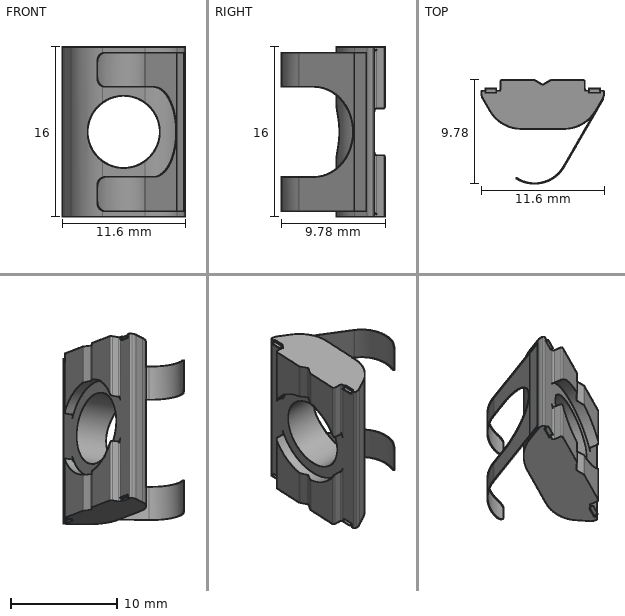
import cadquery as cq
import math

length = 16.0
width = 11.6
half_width = width / 2
boss_half_width = 3.98
boss_height = 1.0
body_depth = 3.62
flat_half_width = 2.0
shoulder_radius = 3.45
slope = math.radians(60)
flange_corner_radius = 0.16
slope_blend_radius = 1.05
boss_edge_radius = 0.16

groove_half_width = 0.77
groove_depth = 0.45
groove_radius = 0.2
bore_diameter = 6.78
boss_gap_radius = 4.55

tab_width = 1.04
tab_center_x = 4.88
tab_reach = 0.22
tab_height = 0.15
notch_height = 0.24
notch_depth = 0.18

spring_thickness = 0.06
spring_height = 14.96
spring_top_y = -0.75
spring_front_y = -8.78
bend_radius = 3.2
tip_angle = math.radians(33)
tip_radius = 0.86
window_width = 8.48
window_end_x = 4.93

shoulder_x = flat_half_width + shoulder_radius * math.sin(slope)
shoulder_y = -body_depth + shoulder_radius * (1 - math.cos(slope))
side_y = shoulder_y + (half_width - shoulder_x) * math.tan(slope)


def extrude_z(profile, height):
    """Solid of the profile, centred on Z = 0."""
    return profile.extrude(height / 2, both=True)


def fillet_along_z(solid, points, radius):
    """Round the full-length edges passing through the given XY points."""
    reach = 0.002
    for x, y in points:
        corner = cq.selectors.BoxSelector(
            (x - reach, y - reach, -reach), (x + reach, y + reach, reach)
        )
        solid = solid.edges("|Z").edges(corner).fillet(radius)
    return solid


def mirrored(x, y):
    return [(-x, y), (x, y)]


def make_body():
    half_turn = slope / 2
    mid_x = flat_half_width + shoulder_radius * math.sin(half_turn)
    mid_y = -body_depth + shoulder_radius * (1 - math.cos(half_turn))
    profile = (
        cq.Workplane("XY")
        .moveTo(-flat_half_width, -body_depth)
        .lineTo(flat_half_width, -body_depth)
        .threePointArc((mid_x, mid_y), (shoulder_x, shoulder_y))
        .lineTo(half_width, side_y)
        .lineTo(half_width, 0)
        .lineTo(boss_half_width, 0)
        .lineTo(boss_half_width, boss_height)
        .lineTo(groove_half_width, boss_height)
        .lineTo(0, boss_height - groove_depth)
        .lineTo(-groove_half_width, boss_height)
        .lineTo(-boss_half_width, boss_height)
        .lineTo(-boss_half_width, 0)
        .lineTo(-half_width, 0)
        .lineTo(-half_width, side_y)
        .lineTo(-shoulder_x, shoulder_y)
        .threePointArc((-mid_x, mid_y), (-flat_half_width, -body_depth))
        .close()
    )
    body = extrude_z(profile, length)
    body = fillet_along_z(body, mirrored(half_width, side_y), slope_blend_radius)
    body = fillet_along_z(body, mirrored(half_width, 0), flange_corner_radius)
    body = fillet_along_z(body, mirrored(boss_half_width, 0), boss_edge_radius)
    body = fillet_along_z(body, mirrored(boss_half_width, boss_height), boss_edge_radius)
    body = fillet_along_z(body, mirrored(groove_half_width, boss_height), groove_radius)
    return fillet_along_z(body, [(0, boss_height - groove_depth)], groove_radius)


def make_boss_gap():
    """Round recess around the bore that splits the boss down to the flange plane."""
    return (
        cq.Workplane("XZ")
        .circle(boss_gap_radius)
        .extrude(-boss_height)
    )


def make_bore():
    return cq.Workplane("XZ").circle(bore_diameter / 2).extrude(length, both=True)


def make_tab(x):
    """Wedge standing out of the flange just below the upper end."""
    tab_top = length / 2 - notch_height
    return (
        cq.Workplane("YZ")
        .moveTo(-notch_depth, tab_top)
        .lineTo(tab_reach, tab_top)
        .lineTo(0, tab_top - tab_height)
        .lineTo(-notch_depth, tab_top - tab_height)
        .close()
        .extrude(tab_width / 2, both=True)
        .translate((x, 0, 0))
    )


def make_notch(x):
    """Cutter that opens the upper end above a tab."""
    return cq.Workplane("XY").box(
        tab_width, 2 * notch_depth, 2 * notch_height
    ).translate((x, 0, length / 2))


def slope_x(y):
    """X of the slanted side at height y."""
    return shoulder_x + (y - shoulder_y) / math.tan(slope)


def make_tip_corner():
    """Waste outside a rounded sheet corner at the origin, sheet toward +X and +Y."""
    diagonal = tip_radius * (1 - math.sqrt(0.5))
    return (
        cq.Workplane("XY")
        .moveTo(0, 0)
        .lineTo(tip_radius, 0)
        .threePointArc((diagonal, diagonal), (0, tip_radius))
        .close()
        .extrude(tip_radius, both=True)
    )


def make_spring():
    inner_radius = bend_radius - spring_thickness
    center_y = spring_front_y + bend_radius
    bend_y = center_y - inner_radius * math.cos(slope)
    center_x = slope_x(bend_y) - inner_radius * math.sin(slope)

    def on_bend(radius, angle):
        """Point on the bend, angle measured from -Y toward +X."""
        return (center_x + radius * math.sin(angle), center_y - radius * math.cos(angle))

    top_inner = (slope_x(spring_top_y), spring_top_y)
    top_outer = (
        top_inner[0] + spring_thickness * math.sin(slope),
        top_inner[1] - spring_thickness * math.cos(slope),
    )
    profile = (
        cq.Workplane("XY")
        .moveTo(*top_inner)
        .lineTo(*on_bend(inner_radius, slope))
        .threePointArc(on_bend(inner_radius, 0), on_bend(inner_radius, -tip_angle))
        .lineTo(*on_bend(bend_radius, -tip_angle))
        .threePointArc(on_bend(bend_radius, 0), on_bend(bend_radius, slope))
        .lineTo(*top_outer)
        .close()
    )
    strip = extrude_z(profile, spring_height)

    end_y = shoulder_y + (window_end_x - shoulder_x) * math.tan(slope)
    window_plane = cq.Plane(
        origin=(window_end_x, end_y, 0),
        xDir=(-math.cos(slope), -math.sin(slope), 0),
        normal=(math.sin(slope), -math.cos(slope), 0),
    )
    half_window = window_width / 2
    window = (
        cq.Workplane(window_plane)
        .moveTo(half_window, half_window)
        .threePointArc((0, 0), (half_window, -half_window))
        .lineTo(length, -half_window)
        .lineTo(length, half_window)
        .close()
        .extrude(length, both=True)
    )
    strip = strip.cut(window)

    tip_x, tip_y = on_bend(bend_radius, -tip_angle)
    tip_plane = cq.Plane(
        origin=(tip_x, tip_y, 0),
        xDir=(math.cos(tip_angle), -math.sin(tip_angle), 0),
        normal=(-math.sin(tip_angle), -math.cos(tip_angle), 0),
    )
    tip_corner = make_tip_corner()
    outer_z = spring_height / 2
    inner_z = window_width / 2
    for tip_z, turn in ((outer_z, 0), (inner_z, 180), (-outer_z, 180), (-inner_z, 0)):
        corner = tip_corner.rotate((0, 0, 0), (1, 0, 0), turn)
        placed = corner.val().moved(cq.Location((0, -tip_z, 0))).moved(tip_plane.location)
        strip = strip.cut(cq.Workplane(placed))
    return strip


result = make_body().cut(make_boss_gap()).cut(make_bore())
for tab_x in (-tab_center_x, tab_center_x):
    upper_notch = make_notch(tab_x)
    result = result.cut(upper_notch).cut(upper_notch.mirror("XY"))
    upper_tab = make_tab(tab_x)
    result = result.union(upper_tab).union(upper_tab.mirror("XY"))
result = result.union(make_spring())